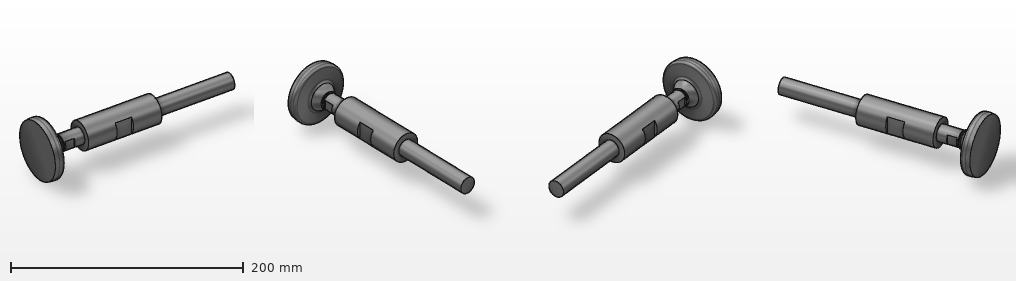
import cadquery as cq
import math

TOTAL_LENGTH = 197.0

STUD_RADIUS = 16.0 / 2
STUD_SHOULDER_Y = 22.5
STUD_NECK_RADIUS = 6.7
STUD_FLAT_WIDTH = 13.0
STUD_FLAT_START_Y = 23.8
STUD_FLAT_LENGTH = 9.5

SLEEVE_RADIUS = 28.0 / 2
SLEEVE_START_Y = 43.3
SLEEVE_LENGTH = 75.0
SLEEVE_FLAT_WIDTH = 22.0
SLEEVE_FLAT_LENGTH = 16.7

FOOT_RADIUS = 58.0 / 2
SOLE_EDGE_RADIUS = 28.4
SOLE_HEIGHT = 4.1
RIM_TOP_Y = 7.3
RIM_ROUND_RADIUS = 2.5
PLATE_SLOPE = math.radians(9.5)
SHOULDER_RADIUS = FOOT_RADIUS - RIM_ROUND_RADIUS * (1 - math.sin(PLATE_SLOPE))
SHOULDER_Y = RIM_TOP_Y + RIM_ROUND_RADIUS * math.cos(PLATE_SLOPE)
FLARE_RADIUS = 15.8
FLARE_Y = SHOULDER_Y + (SHOULDER_RADIUS - FLARE_RADIUS) * math.tan(PLATE_SLOPE)
DOME_BASE_RADIUS = 13.2
DOME_BASE_Y = 13.2
DOME_MID_RADIUS = 11.5
DOME_MID_Y = 16.7
DOME_TOP_RADIUS = 8.0
DOME_TOP_Y = 19.9
LIP_RADIUS = 8.9
LIP_Y = 20.9
SOCKET_FLOOR_Y = DOME_TOP_Y


def cylinder(radius, start_y, length):
    """Cylinder about the Y axis, running toward +Y from start_y."""
    return cq.Workplane(cq.Solid.makeCylinder(radius, length, cq.Vector(0, start_y, 0), cq.Vector(0, 1, 0)))


def cut_wrench_flats(body, radius, width, start_y, length):
    """Cut two parallel flats, facing -X and +X, into a round body."""
    depth = radius - width / 2
    for side in (-1, 1):
        notch = cq.Workplane().box(depth, length, 2 * radius).translate(
            (side * (width + depth) / 2, start_y + length / 2, 0)
        )
        body = body.cut(notch)
    return body


def make_stud():
    shaft = cylinder(STUD_RADIUS, STUD_SHOULDER_Y, TOTAL_LENGTH - STUD_SHOULDER_Y)
    neck = cylinder(STUD_NECK_RADIUS, SOCKET_FLOOR_Y, STUD_SHOULDER_Y - SOCKET_FLOOR_Y)
    return cut_wrench_flats(
        shaft.union(neck), STUD_RADIUS, STUD_FLAT_WIDTH, STUD_FLAT_START_Y, STUD_FLAT_LENGTH
    )


def make_sleeve():
    blank = cylinder(SLEEVE_RADIUS, SLEEVE_START_Y, SLEEVE_LENGTH)
    bore = cylinder(STUD_RADIUS, SLEEVE_START_Y, SLEEVE_LENGTH)
    flat_start_y = SLEEVE_START_Y + (SLEEVE_LENGTH - SLEEVE_FLAT_LENGTH) / 2
    return cut_wrench_flats(
        blank.cut(bore), SLEEVE_RADIUS, SLEEVE_FLAT_WIDTH, flat_start_y, SLEEVE_FLAT_LENGTH
    )


def make_foot():
    return (
        cq.Workplane("XY")
        .lineTo(SOLE_EDGE_RADIUS, 0)
        .lineTo(FOOT_RADIUS, SOLE_HEIGHT)
        .lineTo(FOOT_RADIUS, RIM_TOP_Y)
        .tangentArcPoint((SHOULDER_RADIUS, SHOULDER_Y), relative=False)
        .lineTo(FLARE_RADIUS, FLARE_Y)
        .tangentArcPoint((DOME_BASE_RADIUS, DOME_BASE_Y), relative=False)
        .threePointArc((DOME_MID_RADIUS, DOME_MID_Y), (DOME_TOP_RADIUS, DOME_TOP_Y))
        .lineTo(LIP_RADIUS, LIP_Y)
        .lineTo(STUD_NECK_RADIUS, LIP_Y)
        .lineTo(STUD_NECK_RADIUS, SOCKET_FLOOR_Y)
        .lineTo(0, SOCKET_FLOOR_Y)
        .close()
        .revolve(360, (0, 0, 0), (0, 1, 0))
    )


stud = make_stud()
sleeve = make_sleeve()
foot = make_foot()

result = cq.Compound.makeCompound([stud.val(), sleeve.val(), foot.val()])